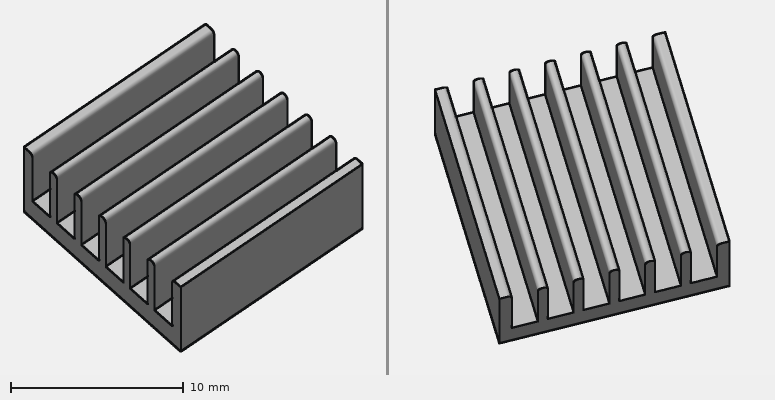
import cadquery as cq

width = 13.87
length = 14.0
height = 5.96

base_thickness = 1.67
inner_fin_count = 5
fin_pitch = 2.15
fin_thickness = 0.6
wall_thickness = 0.75
tip_radius = 0.28

fin_height = height - base_thickness


def fin(center_x, thickness, rounded_edges):
    """Upright plate on the base, with the chosen top long edges rounded."""
    plate = cq.Workplane("XY").box(thickness, length, fin_height, centered=(True, True, False))
    plate = plate.faces(">Z").edges(rounded_edges).fillet(tip_radius)
    return plate.translate((center_x, 0, base_thickness))


result = cq.Workplane("XY").box(width, length, base_thickness, centered=(True, True, False))

for index in range(inner_fin_count):
    center_x = (index - (inner_fin_count - 1) / 2) * fin_pitch
    result = result.union(fin(center_x, fin_thickness, "|Y"))

wall_center_x = (width - wall_thickness) / 2
result = result.union(fin(-wall_center_x, wall_thickness, ">X"))
result = result.union(fin(wall_center_x, wall_thickness, "<X"))